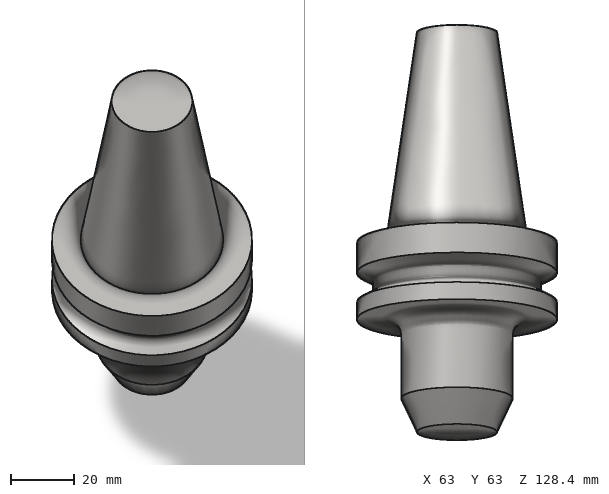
import cadquery as cq

total_height = 128.4

nose_tip_diameter = 25.2
nose_diameter = 35.2
nose_cone_height = 10.8
fillet_radius = 5.0

flange_diameter = 63.0
flange_bottom = 36.2
lower_rim_height = 5.5
groove_diameter = 53.0
groove_floor_height = 4.1
groove_flank_height = 2.7
groove_corner_radius = 0.5
upper_rim_height = 9.6

taper_large_diameter = 45.0
taper_small_diameter = 25.4

nose_radius = nose_diameter / 2
flange_radius = flange_diameter / 2
groove_radius = groove_diameter / 2
groove_bottom = flange_bottom + lower_rim_height
floor_bottom = groove_bottom + groove_flank_height
floor_top = floor_bottom + groove_floor_height
groove_top = floor_top + groove_flank_height
flange_top = groove_top + upper_rim_height

half_section = (
    cq.Workplane("XZ")
    .lineTo(nose_tip_diameter / 2, 0)
    .lineTo(nose_radius, nose_cone_height)
    .lineTo(nose_radius, flange_bottom - fillet_radius)
    .radiusArc((nose_radius + fillet_radius, flange_bottom), fillet_radius)
    .lineTo(flange_radius, flange_bottom)
    .lineTo(flange_radius, groove_bottom)
    .lineTo(groove_radius, floor_bottom)
    .lineTo(groove_radius, floor_top)
    .lineTo(flange_radius, groove_top)
    .lineTo(flange_radius, flange_top)
    .lineTo(taper_large_diameter / 2, flange_top)
    .lineTo(taper_small_diameter / 2, total_height)
    .lineTo(0, total_height)
    .close()
)

holder = half_section.revolve(360, (0, 0, 0), (0, 1, 0))

half_box = groove_floor_height / 4
floor_corners = holder.edges(
    cq.selectors.BoxSelector(
        (-half_box, -half_box, floor_bottom - half_box),
        (half_box, half_box, floor_top + half_box),
    )
)
result = floor_corners.fillet(groove_corner_radius)